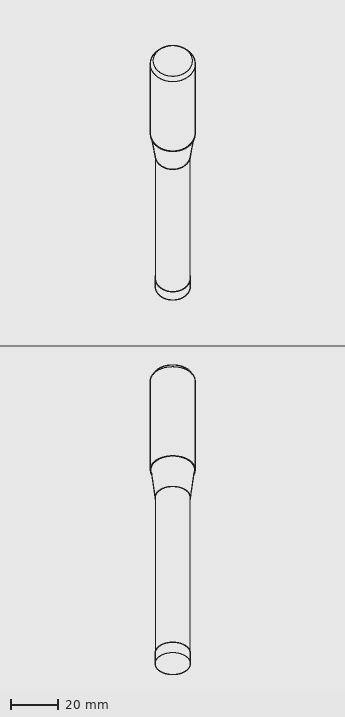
import cadquery as cq

total_length = 157.7
head_diameter = 19.1
head_length = 50.2
chamfer_width = 1.3
chamfer_height = 2.0
neck_top_diameter = 18.5
neck_bottom_diameter = 15.0
shank_diameter = 14.7
neck_length = 15.0
tip_diameter = 15.0
tip_length = 8.4
point_height = 2.7

head_bottom = total_length - head_length
neck_bottom = head_bottom - neck_length

head_radius = head_diameter / 2
neck_top_radius = neck_top_diameter / 2
neck_bottom_radius = neck_bottom_diameter / 2
shank_radius = shank_diameter / 2
tip_radius = tip_diameter / 2


def revolve_profile(points):
    """Turn a closed (radius, height) outline about the vertical axis."""
    outline = cq.Workplane("XZ").polyline(points).close()
    return outline.revolve(360, (0, 0), (0, 1))


def make_shank():
    """Chamfered head, tapered neck with a small step at each end, and straight shank."""
    return revolve_profile([
        (0, tip_length),
        (shank_radius, tip_length),
        (shank_radius, neck_bottom),
        (neck_bottom_radius, neck_bottom),
        (neck_top_radius, head_bottom),
        (head_radius, head_bottom),
        (head_radius, total_length - chamfer_height),
        (head_radius - chamfer_width, total_length),
        (0, total_length),
    ])


def make_tip():
    """Short cylinder with a conical point, seated flat against the shank end."""
    return revolve_profile([
        (0, 0),
        (tip_radius, point_height),
        (tip_radius, tip_length),
        (0, tip_length),
    ])


shank = make_shank()
tip = make_tip()

result = cq.Compound.makeCompound([shank.val(), tip.val()])